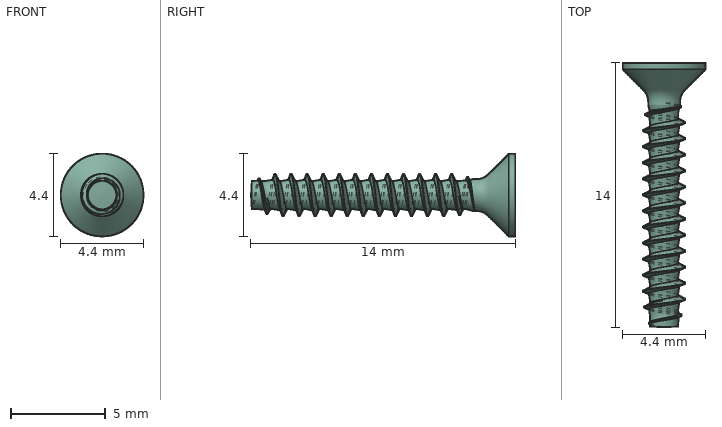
import cadquery as cq
import math

length = 14.0
tip_cone_height = 0.04

head_radius = 2.2
rim_height = 0.35
head_cone_angle = math.radians(45)
shank_radius = 0.85
neck_fillet_radius = 0.84
shank_end_depth = 2.24

core_radius = 0.749
core_taper_length = 0.36

pitch = 0.85
crest_radius = 1.127
crest_width = 0.03
root_radius = 0.819
tip_flank_width = 0.11
head_flank_width = 0.147
root_fillet_width = 0.07
root_taper_width = 0.43
ridge_sink = 0.007
base_radius = core_radius - ridge_sink
buried_radius = 0.56

first_full_crest_depth = 3.16
rise_turns = 1.25
full_turns = 11.25
fade_turns = 1.5
rise_start_height = 0.3
fade_end_height = 0.05
sections_per_turn = 16


def make_body():
    """Head, filleted neck, plain shank and threaded core as one turned solid."""
    arc_start_radius = shank_radius + neck_fillet_radius * (1 - math.cos(head_cone_angle))
    arc_start_depth = rim_height + (head_radius - arc_start_radius) / math.tan(head_cone_angle)
    arc_end_depth = arc_start_depth + neck_fillet_radius * math.sin(head_cone_angle)
    arc_mid_radius = shank_radius + neck_fillet_radius * (1 - math.cos(head_cone_angle / 2))
    arc_mid_depth = arc_end_depth - neck_fillet_radius * math.sin(head_cone_angle / 2)
    return (
        cq.Workplane("XY")
        .lineTo(head_radius, 0)
        .lineTo(head_radius, -rim_height)
        .lineTo(arc_start_radius, -arc_start_depth)
        .threePointArc((arc_mid_radius, -arc_mid_depth), (shank_radius, -arc_end_depth))
        .lineTo(shank_radius, -shank_end_depth)
        .lineTo(core_radius, -shank_end_depth - core_taper_length)
        .lineTo(core_radius, -length + tip_cone_height)
        .lineTo(0, -length)
        .close()
        .revolve(360, (0, 0, 0), (0, 1, 0))
    )


def ridge_section(turn, height):
    """Ridge outline after the given number of turns from +X; height is a fraction of the full one."""
    half_crest = crest_width / 2
    relief_start = -half_crest - head_flank_width - root_fillet_width
    taper_end = half_crest + tip_flank_width + root_taper_width
    head_foot = -half_crest - head_flank_width * height
    tip_foot = half_crest + tip_flank_width * height
    section_root = base_radius + (root_radius - base_radius) * height
    section_crest = base_radius + (crest_radius - base_radius) * height
    outline = [
        (relief_start, buried_radius),
        (relief_start, base_radius),
        (head_foot, section_root),
        (-half_crest, section_crest),
        (half_crest, section_crest),
        (tip_foot, section_root),
        (taper_end, base_radius),
        (taper_end, buried_radius),
    ]
    angle = 2 * math.pi * turn
    crest_depth = first_full_crest_depth + pitch * turn
    points = [
        cq.Vector(
            radius * math.cos(angle),
            -crest_depth - offset,
            radius * math.sin(angle),
        )
        for offset, radius in outline
    ]
    return cq.Wire.makePolygon(points, close=True)


def ridge_stretch(start_turn, turns, start_height, end_height):
    """Right-hand helical ridge whose height changes evenly from start to end."""
    steps = round(turns * sections_per_turn)
    sections = [
        ridge_section(
            start_turn + turns * step / steps,
            start_height + (end_height - start_height) * step / steps,
        )
        for step in range(steps + 1)
    ]
    return cq.Solid.makeLoft(sections)


def make_thread():
    """Rising, full and fading stretches of the ridge, trimmed level with the tip edge."""
    stretches = [
        ridge_stretch(-rise_turns, rise_turns, rise_start_height, 1),
        ridge_stretch(0, full_turns, 1, 1),
        ridge_stretch(full_turns, fade_turns, 1, fade_end_height),
    ]
    tip_edge = cq.Workplane("XZ", origin=(0, -length + tip_cone_height, 0))
    below_tip = tip_edge.circle(head_radius).extrude(length)
    return [cq.Workplane(stretch).cut(below_tip) for stretch in stretches]


result = make_body()
for stretch in make_thread():
    result = result.union(stretch)